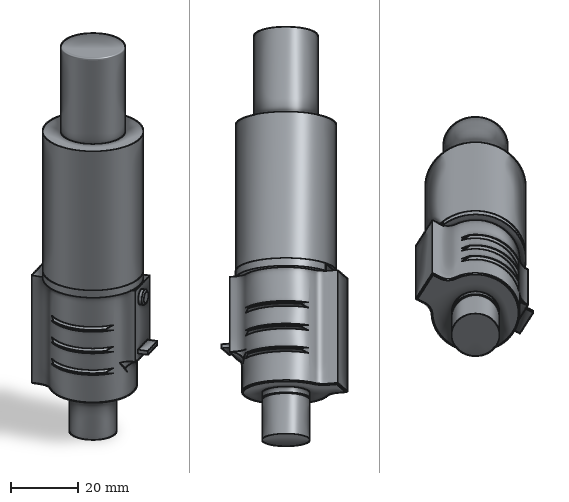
import cadquery as cq
import math

total_height = 125.0
stub_top = 12.5
body_bottom = 14.5
body_top = 49.6
neck_top = 52.0
sleeve_top = 97.1

stub_radius = 7.1
body_radius = 13.1
sleeve_radius = 15.0
shaft_radius = 9.6
shaft_edge = 0.7
body_edge = 0.4
collar_edge = 0.2

key_reach = 17.6
key_half_width = 5.0
blend_radius = 4.4
notch_floor = 13.9

pad_reach = 15.2
pad_y_min = -4.9
pad_y_max = 7.4
pad_bottom = 26.5
underside_radius = 3.7
underside_inset = 0.2
underside_top_width = 16.5
underside_bottom_width = 11.0

tab_reach = 18.4
tab_y_min = -2.5
tab_y_max = 5.5
tab_bottom = 28.4
tab_thickness = 1.2
button_radius = 2.4
button_reach = 16.9
button_edge = 0.5
button_z = 45.7

rib_count = 3
rib_pitch = 7.0
rib_lowest_z = 24.5
rib_base_width = 1.6
rib_crest_width = 0.4
rib_crest_radius = 13.9
rib_half_length = 9.7
rib_crest_half_length = 8.4

overlap = 0.6


def cylinder(radius, bottom, top):
    return cq.Workplane("XY").workplane(offset=bottom).circle(radius).extrude(top - bottom)


def box(x_min, x_max, y_min, y_max, z_min, z_max):
    return cq.Workplane("XY").box(
        x_max - x_min, y_max - y_min, z_max - z_min, centered=False
    ).translate((x_min, y_min, z_min))


def blend_points(half_width):
    """Start, middle and end of the concave arc from the round body to a side at y = half_width."""
    center_y = half_width + blend_radius
    center_x = math.sqrt((body_radius + blend_radius) ** 2 - center_y ** 2)
    angle = math.atan2(center_y, center_x)
    on_body = (body_radius * math.cos(angle), body_radius * math.sin(angle))
    middle_angle = (angle + math.pi + 1.5 * math.pi) / 2
    middle = (
        center_x + blend_radius * math.cos(middle_angle),
        center_y + blend_radius * math.sin(middle_angle),
    )
    on_side = (center_x, half_width)
    return on_body, middle, on_side


def mirrored(point):
    return (point[0], -point[1])


def blended_block(reach, y_min, y_max, bottom):
    """Block on the +X side whose two sides sweep into the round body."""
    upper_body, upper_middle, upper_side = blend_points(y_max)
    lower_body, lower_middle, lower_side = [mirrored(p) for p in blend_points(-y_min)]
    return (
        cq.Workplane("XY").workplane(offset=bottom)
        .moveTo(0, 0)
        .lineTo(*lower_body)
        .threePointArc(lower_middle, lower_side)
        .lineTo(reach, y_min)
        .lineTo(reach, y_max)
        .lineTo(*upper_side)
        .threePointArc(upper_middle, upper_body)
        .close()
        .extrude(body_top - bottom)
    )


def pad_underside():
    """Concave sweep from the lower end of the latch pad down to the round body."""
    center_r = body_radius + underside_radius
    center_z = pad_bottom - underside_radius
    diagonal = underside_radius * math.sqrt(0.5)
    ring = (
        cq.Workplane("XZ")
        .moveTo(body_radius - overlap, center_z)
        .lineTo(body_radius, center_z)
        .threePointArc((center_r - diagonal, center_z + diagonal), (center_r, pad_bottom))
        .lineTo(body_radius - overlap, pad_bottom)
        .close()
        .revolve(360, (0, 0, 0), (0, 1, 0))
    )
    outline = blended_block(
        pad_reach, pad_y_min + underside_inset, pad_y_max - underside_inset, center_z
    )
    pad_center_y = (pad_y_min + pad_y_max) / 2
    taper = (
        cq.Workplane("YZ")
        .moveTo(pad_center_y - underside_top_width / 2, pad_bottom)
        .lineTo(pad_center_y + underside_top_width / 2, pad_bottom)
        .lineTo(pad_center_y + underside_bottom_width / 2, center_z)
        .lineTo(pad_center_y - underside_bottom_width / 2, center_z)
        .close()
        .extrude(pad_reach)
    )
    return ring.intersect(outline).intersect(taper)


def rib_ring(z):
    """Full ring of tapered section around the body."""
    root_radius = body_radius - overlap
    half_base = rib_base_width / 2
    half_crest = rib_crest_width / 2
    return (
        cq.Workplane("XZ")
        .moveTo(root_radius, z - half_base)
        .lineTo(body_radius, z - half_base)
        .lineTo(rib_crest_radius, z - half_crest)
        .lineTo(rib_crest_radius, z + half_crest)
        .lineTo(body_radius, z + half_base)
        .lineTo(root_radius, z + half_base)
        .close()
        .revolve(360, (0, 0, 0), (0, 1, 0))
    )


def rib_window(z):
    """Space that keeps the ribs on the +Y and -Y sides and slopes their ends."""
    base_y = math.sqrt(body_radius ** 2 - rib_half_length ** 2)
    crest_y = math.sqrt(rib_crest_radius ** 2 - rib_crest_half_length ** 2)
    slope = (rib_half_length - rib_crest_half_length) / (crest_y - base_y)
    tip_half_length = rib_half_length - slope * (rib_crest_radius - base_y)
    quarter = [
        (rib_half_length, 0),
        (rib_half_length, base_y),
        (tip_half_length, rib_crest_radius),
    ]
    right_side = [(x, -y) for x, y in reversed(quarter)] + quarter[1:]
    left_side = [(-x, -y) for x, y in right_side]
    return (
        cq.Workplane("XY").workplane(offset=z - rib_base_width / 2)
        .polyline(right_side + left_side).close()
        .extrude(rib_base_width)
    )


def make_plug():
    sleeve = cylinder(sleeve_radius, neck_top, sleeve_top)
    shaft = cylinder(shaft_radius, sleeve_top, total_height).faces(">Z").edges().fillet(shaft_edge)
    return sleeve.union(shaft)


def make_neck():
    """Neck with a shallow notch as wide as the key."""
    notch = box(
        -sleeve_radius, -notch_floor, -key_half_width, key_half_width, body_top, neck_top
    )
    return cylinder(sleeve_radius, body_top, neck_top).cut(notch)


def make_collar():
    collar = cylinder(stub_radius, stub_top, body_bottom)
    return collar.faces("<Z").edges().chamfer(collar_edge)


def make_coupler():
    key = blended_block(key_reach, -key_half_width, key_half_width, body_bottom)
    key = key.rotate((0, 0, 0), (0, 0, 1), 180)
    coupler = cylinder(body_radius, body_bottom, body_top).union(key)
    coupler = coupler.faces("<Z").edges().chamfer(body_edge)
    coupler = coupler.union(make_neck())
    coupler = coupler.union(make_collar())

    pad = blended_block(pad_reach, pad_y_min, pad_y_max, pad_bottom)
    coupler = coupler.union(pad).union(pad_underside())
    tab = box(body_radius, tab_reach, tab_y_min, tab_y_max, tab_bottom, tab_bottom + tab_thickness)
    button = (
        cq.Workplane("YZ").workplane(offset=body_radius).center(0, button_z)
        .circle(button_radius).extrude(button_reach - body_radius)
        .faces(">X").edges().chamfer(button_edge)
    )
    coupler = coupler.union(tab).union(button)

    for index in range(rib_count):
        z = rib_lowest_z + index * rib_pitch
        coupler = coupler.union(rib_ring(z).intersect(rib_window(z)))
    return coupler


def make_cable_stub():
    return cylinder(stub_radius, 0, stub_top)


plug = make_plug()
coupler = make_coupler()
cable_stub = make_cable_stub()

result = cq.Compound.makeCompound([plug.val(), coupler.val(), cable_stub.val()])